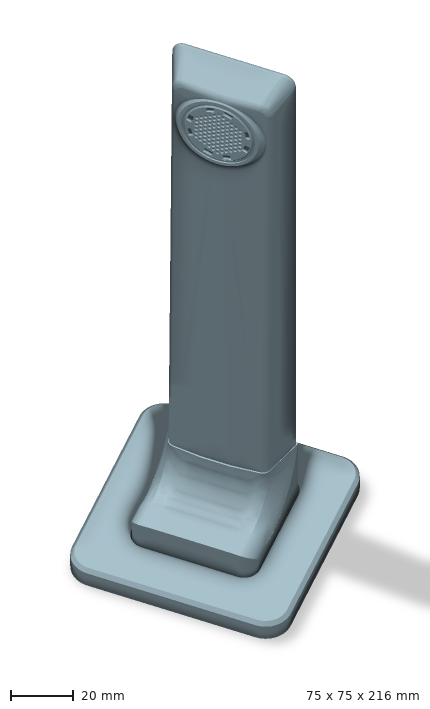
import cadquery as cq
import math

FLANGE_SIDE = 75.0
FLANGE_BOTTOM = 0.6
FLANGE_THICKNESS = 7.3
FLANGE_CORNER = 8.6
FLANGE_CHAMFER = 1.3
FLANGE_CLEARANCE = 0.5

HEIGHT = 216.0
WIDTH = 43.2
HALF_WIDTH = WIDTH / 2
FOOT_CORNER = 5.2
ARM_BACK = 17.5
ARM_START = 32.8

FRONT_HALF_WIDTH = 16.8
FRONT_LOW = 2.0
FRONT_HIGH = 5.5
CROWN = 1.0
TIP_SLOPE = 26.0
TIP_SIDE_FILLET = 4.8
FRONT_FILLET = 2.5
BACK_FILLET = 1.0
TIP_TRIM = 0.6

BEND_Y = -11.5
BEND_STEPS = 4
FOOT_TOP = 18.4
FOOT_SIDE_TOP = 13.0
CROWN_REACH_START = 11.7
CROWN_REACH_END = ARM_START - FOOT_TOP
SIDE_REACH_START = 28.3
SIDE_REACH_END = ARM_START - FOOT_SIDE_TOP
EDGE_DROP_START = 1.0
EDGE_DROP_END = 0.05
EDGE_HALF_START = 15.0
EDGE_HALF_END = 13.2
SHOULDER_DROP_START = 3.5
SHOULDER_DROP_END = 0.2
SHOULDER_HALF_START = 17.5
SHOULDER_HALF_END = 17.0
CORNER_BOW_START = 0.5
CORNER_BOW_END = 0.02
FLANK_BOW_START = 0.05
FLANK_BOW_END = 0.9
BEND_OVERLAP = 2.2

FLARE_TOP = 38.9
FLARE_BOTTOM = 9.3

OUTLET_Y = 2.5
OUTLET_Z = 194.6
OUTLET_TILT = 4.4
BOSS_RADIUS = 13.8
BOSS_FLARE = 0.8
BOSS_DEPTH = 3.2
SOCKET_DEPTH = 5.2
RING_THICKNESS = 1.19
RING_INNER = BOSS_RADIUS - RING_THICKNESS
SEAL_INNER = 11.9
SEAL_RECESS = 0.5
INSERT_CHAMFER = 0.55
NOTCH_RADIUS = 10.2
NOTCH_LENGTH = 3.0
NOTCH_WIDTH = 1.7
NOTCH_DEPTH = 1.0
NOTCH_ANGLE = 18.0
CELL_PITCH = 1.7
CELL_ACROSS_FLATS = 1.3
CELL_FIELD_RADIUS = 8.6
CELL_DEPTH = 1.0

EXTRA = 2.2


def flange_body():
    plate = (
        cq.Workplane("XY", origin=(0, 0, FLANGE_BOTTOM))
        .rect(FLANGE_SIDE, FLANGE_SIDE)
        .extrude(FLANGE_THICKNESS)
        .edges("|Z").fillet(FLANGE_CORNER)
        .faces(">Z").edges().chamfer(FLANGE_CHAMFER)
    )
    return plate.cut(foot_prism(HEIGHT, FLANGE_CLEARANCE))


def foot_prism(height, growth=0):
    """Square column with rounded corners that bounds the foot, optionally grown all round."""
    side = WIDTH + 2 * growth
    return cq.Workplane("XY").rect(side, side).extrude(height).edges("|Z").fillet(FOOT_CORNER + growth)


def arm_section(front, z):
    """Horizontal section of the arm with sharp corners and a crowned front."""
    return (
        cq.Workplane("XY", origin=(0, 0, z))
        .moveTo(-HALF_WIDTH, ARM_BACK)
        .lineTo(-FRONT_HALF_WIDTH, front)
        .threePointArc((0, front - CROWN), (FRONT_HALF_WIDTH, front))
        .lineTo(HALF_WIDTH, ARM_BACK)
        .close()
        .wire()
        .val()
    )


def arm():
    """Straight arm with its sloping tip and rounded edges."""
    sections = [arm_section(FRONT_LOW, ARM_START), arm_section(FRONT_HIGH, HEIGHT + EXTRA)]
    sharp = cq.Workplane(cq.Solid.makeLoft(sections, True))
    peak = HEIGHT + TIP_TRIM
    fall = WIDTH * math.tan(math.radians(TIP_SLOPE))
    above_tip = (
        cq.Workplane("YZ")
        .polyline([
            (ARM_BACK, peak),
            (ARM_BACK - WIDTH, peak - fall),
            (ARM_BACK - WIDTH, peak + EXTRA),
            (ARM_BACK, peak + EXTRA),
        ])
        .close()
        .extrude(WIDTH, both=True)
    )
    body = sharp.cut(above_tip)
    tip_sides = body.faces(">Z").edges("not (<Z or >Y)")
    body = tip_sides.fillet(TIP_SIDE_FILLET)
    body = body.faces("<Y").edges("not <Z").fillet(FRONT_FILLET)
    return body.faces(">Y").edges("not <Z").fillet(BACK_FILLET)


def bend_section(turn):
    """Section of the bend; turn runs from 0 at the arm to 1 at the foot."""
    angle = math.radians(90 * turn)

    def between(start, end):
        return start + (end - start) * turn

    def point(x, reach):
        return cq.Vector(x, BEND_Y + reach * math.cos(angle), ARM_START - reach * math.sin(angle))

    crown = between(CROWN_REACH_START, CROWN_REACH_END)
    edge = crown + between(EDGE_DROP_START, EDGE_DROP_END)
    shoulder = crown + between(SHOULDER_DROP_START, SHOULDER_DROP_END)
    side = between(SIDE_REACH_START, SIDE_REACH_END)
    edge_half = between(EDGE_HALF_START, EDGE_HALF_END)
    shoulder_half = between(SHOULDER_HALF_START, SHOULDER_HALF_END)
    flank_bow = between(FLANK_BOW_START, FLANK_BOW_END)
    corner_bow = between(CORNER_BOW_START, CORNER_BOW_END)

    def mirrored_arc(sign, start, end, bow):
        """Points of an arc bowed outward by equal amounts along X and the reach."""
        middle = ((start[0] + end[0]) / 2 + bow, (start[1] + end[1]) / 2 - bow)
        return [point(sign * x, reach) for x, reach in (start, middle, end)]

    base = (HALF_WIDTH, side + BEND_OVERLAP)
    side_corner = (HALF_WIDTH, side)
    shoulder_corner = (shoulder_half, shoulder)
    front_corner = (edge_half, edge)
    edges = [
        cq.Edge.makeLine(point(-base[0], base[1]), point(-HALF_WIDTH, side)),
        cq.Edge.makeThreePointArc(*mirrored_arc(-1, side_corner, shoulder_corner, flank_bow)),
        cq.Edge.makeThreePointArc(*mirrored_arc(-1, shoulder_corner, front_corner, corner_bow)),
        cq.Edge.makeThreePointArc(point(-edge_half, edge), point(0, crown), point(edge_half, edge)),
        cq.Edge.makeThreePointArc(*mirrored_arc(1, front_corner, shoulder_corner, corner_bow)),
        cq.Edge.makeThreePointArc(*mirrored_arc(1, shoulder_corner, side_corner, flank_bow)),
        cq.Edge.makeLine(point(HALF_WIDTH, side), point(*base)),
        cq.Edge.makeLine(point(*base), point(-base[0], base[1])),
    ]
    return cq.Wire.assembleEdges(edges)


def bend():
    """Curved transition from the arm down to the foot."""
    sections = [bend_section(step / BEND_STEPS) for step in range(BEND_STEPS + 1)]
    return cq.Workplane(cq.Solid.makeLoft(sections))


def foot_cap():
    """Straight run of the foot in front of the bend, with rounded shoulders."""
    length = HALF_WIDTH + BEND_Y
    return cq.Workplane(cq.Solid.extrudeLinear(bend_section(1), [], cq.Vector(0, -length, 0)))


def bend_side_point(turn):
    """Y and Z of the edge of the sides, part of the way round the bend."""
    reach = SIDE_REACH_START + (SIDE_REACH_END - SIDE_REACH_START) * turn
    angle = math.radians(90 * turn)
    return (BEND_Y + reach * math.cos(angle), ARM_START - reach * math.sin(angle))


def foot_block():
    """Lower part of the foot, as wide as the foot all the way up."""
    curve_top = BEND_Y + SIDE_REACH_START
    curve_middle = bend_side_point(0.5)
    return (
        cq.Workplane("YZ")
        .moveTo(-HALF_WIDTH, 0)
        .lineTo(HALF_WIDTH, 0)
        .lineTo(HALF_WIDTH, ARM_START)
        .lineTo(curve_top, ARM_START)
        .threePointArc(curve_middle, (BEND_Y, FOOT_SIDE_TOP))
        .lineTo(-HALF_WIDTH, FOOT_SIDE_TOP)
        .close()
        .extrude(HALF_WIDTH, both=True)
    )


def base_pad():
    """Thin square pad under the foot, whose corners carry the flange."""
    return cq.Workplane("XY").rect(WIDTH, WIDTH).extrude(FLANGE_BOTTOM)


def back_trim():
    """Solid that bounds the foot, with its back hollowed along the flare."""
    flare_middle_z = (FLARE_TOP + FLARE_BOTTOM) / 2
    flare_middle_y = ARM_BACK + (HALF_WIDTH - ARM_BACK) / 4
    return (
        cq.Workplane("YZ")
        .moveTo(-HALF_WIDTH, 0)
        .lineTo(HALF_WIDTH, 0)
        .lineTo(HALF_WIDTH, FLARE_BOTTOM)
        .threePointArc((flare_middle_y, flare_middle_z), (ARM_BACK, FLARE_TOP))
        .lineTo(-HALF_WIDTH, FLARE_TOP)
        .close()
        .extrude(HALF_WIDTH, both=True)
    )


def outlet_plane():
    """Plane of the outlet face; its Z points out of the spout."""
    tilt = math.radians(OUTLET_TILT)
    return cq.Plane(
        origin=(0, OUTLET_Y, OUTLET_Z),
        xDir=(1, 0, 0),
        normal=(0, -math.cos(tilt), math.sin(tilt)),
    )


def outlet_disc(radius, depth, top=0):
    """Disc about the outlet axis, reaching inward from a height above the outlet face."""
    return cq.Workplane(outlet_plane()).workplane(offset=top).circle(radius).extrude(-depth)


def boss():
    flared_radius = BOSS_RADIUS + BOSS_FLARE * BOSS_DEPTH
    return (
        cq.Workplane(outlet_plane())
        .circle(BOSS_RADIUS)
        .workplane(offset=-BOSS_DEPTH)
        .circle(flared_radius)
        .loft()
    )


def spout_body():
    foot = foot_block().union(bend()).union(foot_cap())
    foot = foot.intersect(back_trim()).intersect(foot_prism(FLARE_TOP))
    socket = outlet_disc(BOSS_RADIUS, SOCKET_DEPTH)
    return arm().union(foot).union(base_pad()).union(boss()).cut(socket)


def housing_ring_body():
    return outlet_disc(BOSS_RADIUS, SOCKET_DEPTH).cut(outlet_disc(RING_INNER, SOCKET_DEPTH))


def seal_body():
    depth = SOCKET_DEPTH - SEAL_RECESS
    ring = outlet_disc(RING_INNER, depth, -SEAL_RECESS)
    return ring.cut(outlet_disc(SEAL_INNER, depth, -SEAL_RECESS))


def notches():
    """Key notches, one each side of the four quarter directions."""
    cuts = []
    for quarter in range(4):
        for side in (-1, 1):
            angle = 90 * quarter + side * NOTCH_ANGLE
            notch = (
                cq.Workplane(outlet_plane())
                .transformed(rotate=(0, 0, angle))
                .center(NOTCH_RADIUS, 0)
                .rect(NOTCH_WIDTH, NOTCH_LENGTH)
                .extrude(-NOTCH_DEPTH)
            )
            cuts.append(notch)
    return cuts


def honeycomb_centres():
    """Cell centres inside the round field, in columns staggered by half a pitch."""
    column_pitch = CELL_PITCH * math.sqrt(3) / 2
    columns = math.ceil(CELL_FIELD_RADIUS / column_pitch)
    rows = math.ceil(CELL_FIELD_RADIUS / CELL_PITCH)
    centres = []
    for column in range(-columns, columns + 1):
        stagger = CELL_PITCH / 2 * (column % 2)
        for row in range(-rows - 1, rows + 1):
            centre = (column * column_pitch, row * CELL_PITCH + stagger)
            if math.hypot(*centre) <= CELL_FIELD_RADIUS:
                centres.append(centre)
    return centres


def insert_body():
    """Aerator insert: chamfered disc with key notches and a honeycomb of blind cells."""
    cell_across_corners = CELL_ACROSS_FLATS * 2 / math.sqrt(3)
    cells = (
        cq.Workplane(outlet_plane())
        .pushPoints(honeycomb_centres())
        .polygon(6, cell_across_corners)
        .extrude(-CELL_DEPTH)
    )
    disc = outlet_disc(SEAL_INNER, SOCKET_DEPTH).faces("<Y").edges().chamfer(INSERT_CHAMFER)
    for notch in notches():
        disc = disc.cut(notch)
    return disc.cut(cells)


flange = flange_body()
spout = spout_body()
housing_ring = housing_ring_body()
seal = seal_body()
insert = insert_body()

result = cq.Compound.makeCompound([
    flange.solids().val(),
    spout.solids().val(),
    housing_ring.solids().val(),
    seal.solids().val(),
    insert.solids().val(),
])